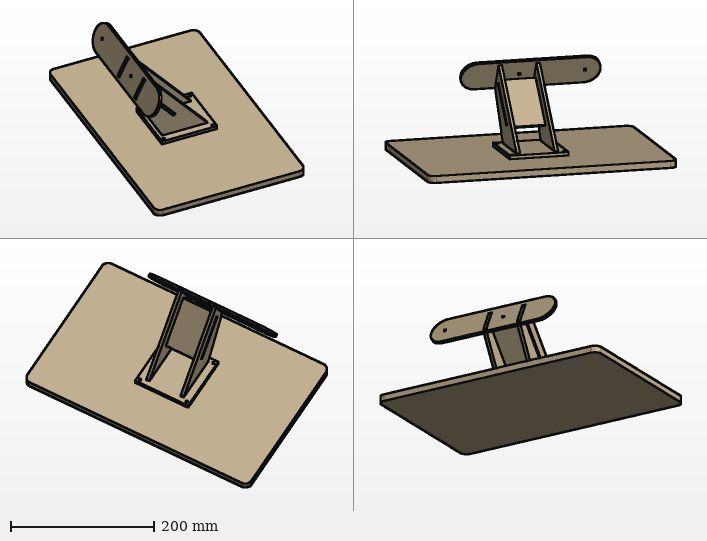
import cadquery as cq
import math

BOARD_LENGTH = 360
BOARD_WIDTH = 230.0
BOARD_THICKNESS = 10.0
BOARD_CORNER_RADIUS = 10.0

FOOT_SIZE = 85.0
FOOT_THICKNESS = 5.0
FOOT_HOLE_INSET = 5.0
FOOT_TOP_Z = BOARD_THICKNESS + FOOT_THICKNESS

HOLE_DIAMETER = 3.0

OVERALL_HEIGHT = 127.5
FACE_LENGTH = 202.5
FACE_WIDTH = 45.0
FACE_THICKNESS = 4.0
FACE_TILT = 64
FACE_CENTER_X = -19.0
FACE_CENTER_Y = -69.5
FACE_HOLE_SPACING = 95.5

SIDE_THICKNESS = 5.0
SIDE_GAP = 50.0
SIDE_BACK_Y = 33.5
SIDE_FRONT_Y = -36.5
SIDE_SLOPE = 49.3
SIDE_TENON_LENGTH = 32.0
SIDE_TENON_LOW = 5.0

CROSS_LENGTH = 75.0
CROSS_THICKNESS = 3.5
CROSS_TENON_LENGTH = 65.0
CROSS_CENTER_Y = -39.0
CROSS_CENTER_Z = FOOT_TOP_Z + 55.0

TILT_COS = math.cos(math.radians(FACE_TILT))
TILT_SIN = math.sin(math.radians(FACE_TILT))
SLOPE_COS = math.cos(math.radians(SIDE_SLOPE))
SLOPE_SIN = math.sin(math.radians(SIDE_SLOPE))

FACE_CENTER_Z = OVERALL_HEIGHT - FACE_WIDTH / 2 * TILT_SIN
FACE_BOTTOM = -FACE_WIDTH / 2
TENON_BOTTOM = FACE_BOTTOM + SIDE_TENON_LOW
TENON_TOP = TENON_BOTTOM + SIDE_TENON_LENGTH
SIDE_OFFSET = (SIDE_GAP + SIDE_THICKNESS) / 2

FACE_PLANE = cq.Plane(
    origin=(0, FACE_CENTER_Y, FACE_CENTER_Z),
    xDir=(1, 0, 0),
    normal=(0, -TILT_SIN, TILT_COS),
)

CROSS_PLANE = cq.Plane(
    origin=(0, CROSS_CENTER_Y, CROSS_CENTER_Z),
    xDir=(1, 0, 0),
    normal=(0, SLOPE_SIN, SLOPE_COS),
)


def face_point(up, depth):
    """(Y, Z) of a point up the face plate from its middle and behind its outer surface."""
    y = FACE_CENTER_Y + up * TILT_COS + depth * TILT_SIN
    z = FACE_CENTER_Z + up * TILT_SIN - depth * TILT_COS
    return (y, z)


def back_edge_on_face():
    """(Y, Z) where the sloping back edge of a side plate meets the back of the face plate."""
    base_y, base_z = face_point(0, FACE_THICKNESS)
    offset = (base_y - SIDE_BACK_Y) * SLOPE_SIN + (base_z - FOOT_TOP_Z) * SLOPE_COS
    up = -offset / (TILT_COS * SLOPE_SIN + TILT_SIN * SLOPE_COS)
    return face_point(up, FACE_THICKNESS)


def make_board():
    board = cq.Workplane("XY").box(
        BOARD_LENGTH, BOARD_WIDTH, BOARD_THICKNESS, centered=(True, True, False)
    )
    return board.edges("|Z").fillet(BOARD_CORNER_RADIUS)


def make_foot():
    hole_pitch = FOOT_SIZE - 2 * FOOT_HOLE_INSET
    return (
        cq.Workplane("XY", origin=(0, 0, BOARD_THICKNESS))
        .box(FOOT_SIZE, FOOT_SIZE, FOOT_THICKNESS, centered=(True, True, False))
        .faces(">Z")
        .workplane()
        .rect(hole_pitch, hole_pitch, forConstruction=True)
        .vertices()
        .hole(HOLE_DIAMETER)
    )


def make_cross_plate():
    """Plate whose side tenons pass through both side plates and end flush."""
    body = cq.Workplane(CROSS_PLANE).box(SIDE_GAP, CROSS_LENGTH, CROSS_THICKNESS)
    tenon_span = SIDE_GAP + 2 * SIDE_THICKNESS
    tenons = cq.Workplane(CROSS_PLANE).box(tenon_span, CROSS_TENON_LENGTH, CROSS_THICKNESS)
    return body.union(tenons)


def make_side_plate(x_center, cross_plate):
    """Sloping plate with a tenon into the face plate and a slot for the cross plate."""
    outline = [
        (SIDE_BACK_Y, FOOT_TOP_Z),
        (SIDE_FRONT_Y, FOOT_TOP_Z),
        face_point(FACE_BOTTOM, FACE_THICKNESS),
        face_point(TENON_BOTTOM, FACE_THICKNESS),
        face_point(TENON_BOTTOM, 0),
        face_point(TENON_TOP, 0),
        face_point(TENON_TOP, FACE_THICKNESS),
        back_edge_on_face(),
    ]
    plate = (
        cq.Workplane("YZ", origin=(x_center, 0, 0))
        .polyline(outline)
        .close()
        .extrude(SIDE_THICKNESS / 2, both=True)
    )
    return plate.cut(cross_plate)


def make_face_plate(side_plates):
    """Round-ended plate with two holes and a slot for each side plate tenon."""
    left_hole_x = FACE_CENTER_X - (FACE_LENGTH - FACE_WIDTH) / 2
    hole_points = [(left_hole_x, 0), (left_hole_x + FACE_HOLE_SPACING, 0)]
    plate = (
        cq.Workplane(FACE_PLANE)
        .center(FACE_CENTER_X, 0)
        .slot2D(FACE_LENGTH, FACE_WIDTH)
        .extrude(-FACE_THICKNESS)
    )
    holes = (
        cq.Workplane(FACE_PLANE)
        .pushPoints(hole_points)
        .circle(HOLE_DIAMETER / 2)
        .extrude(-FACE_THICKNESS)
    )
    plate = plate.cut(holes)
    for side_plate in side_plates:
        plate = plate.cut(side_plate)
    return plate


board = make_board()
foot = make_foot()
cross_plate = make_cross_plate()
side_plates = [make_side_plate(x, cross_plate) for x in (-SIDE_OFFSET, SIDE_OFFSET)]
face_plate = make_face_plate(side_plates)

result = cq.Compound.makeCompound(
    [
        board.val(),
        foot.val(),
        cross_plate.val(),
        *[side_plate.val() for side_plate in side_plates],
        face_plate.val(),
    ]
)